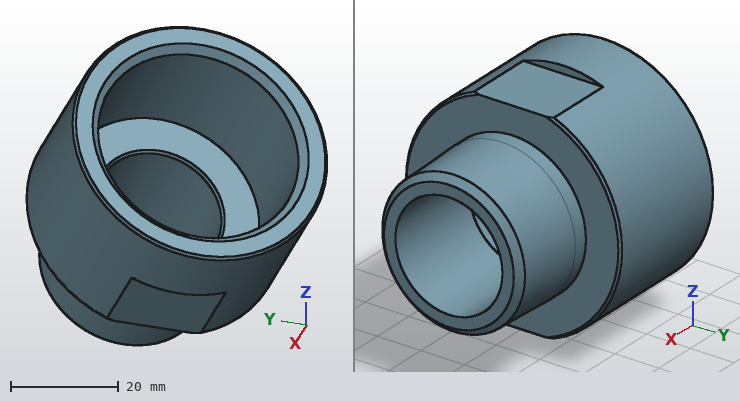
import cadquery as cq

total_length = 50.0
body_length = 29.85
collar_length = 3.4

body_diameter = 49.5
body_chamfer = 0.5
flat_start = 13.8
across_flats = 46.0

spigot_diameter = 33.65
taper_ratio = 1 / 16
tip_chamfer = 1.5

socket_diameter = 38.95
socket_mouth_diameter = 42.0
socket_mouth_depth = 1.5
socket_depth = 26.0
bore_diameter = 24.5
bore_chamfer = 0.5


def make_body():
    """Chamfered cylinder that carries the female socket."""
    cylinder = cq.Workplane("YZ").circle(body_diameter / 2).extrude(body_length)
    return cylinder.faces("<X or >X").chamfer(body_chamfer)


def cut_flats(body):
    """Mill two parallel wrench flats, above and below, open at the +X shoulder."""
    flat_depth = (body_diameter - across_flats) / 2
    cutter = cq.Workplane("XY").box(
        body_length - flat_start, body_diameter, flat_depth, centered=(False, True, False)
    )
    upper = cutter.translate((flat_start, 0, across_flats / 2))
    return body.cut(upper).cut(upper.mirror("XY"))


def make_spigot():
    """Collar, taper and chamfered tip, revolved about the X axis."""
    taper_start = body_length + collar_length
    taper_end = total_length - tip_chamfer
    spigot_radius = spigot_diameter / 2
    tip_radius = spigot_radius - (taper_end - taper_start) * taper_ratio / 2
    profile = [
        (body_length, 0),
        (body_length, spigot_radius),
        (taper_start, spigot_radius),
        (taper_end, tip_radius),
        (total_length, tip_radius - tip_chamfer),
        (total_length, 0),
    ]
    return cq.Workplane("XY").polyline(profile).close().revolve(360, (0, 0, 0), (1, 0, 0))


def make_cavity():
    """Socket with a countersunk mouth, then the chamfered through bore."""
    bore_radius = bore_diameter / 2
    profile = [
        (0, 0),
        (0, socket_mouth_diameter / 2),
        (socket_mouth_depth, socket_diameter / 2),
        (socket_depth, socket_diameter / 2),
        (socket_depth, bore_radius + bore_chamfer),
        (socket_depth + bore_chamfer, bore_radius),
        (total_length, bore_radius),
        (total_length, 0),
    ]
    return cq.Workplane("XY").polyline(profile).close().revolve(360, (0, 0, 0), (1, 0, 0))


result = cut_flats(make_body()).union(make_spigot()).cut(make_cavity())